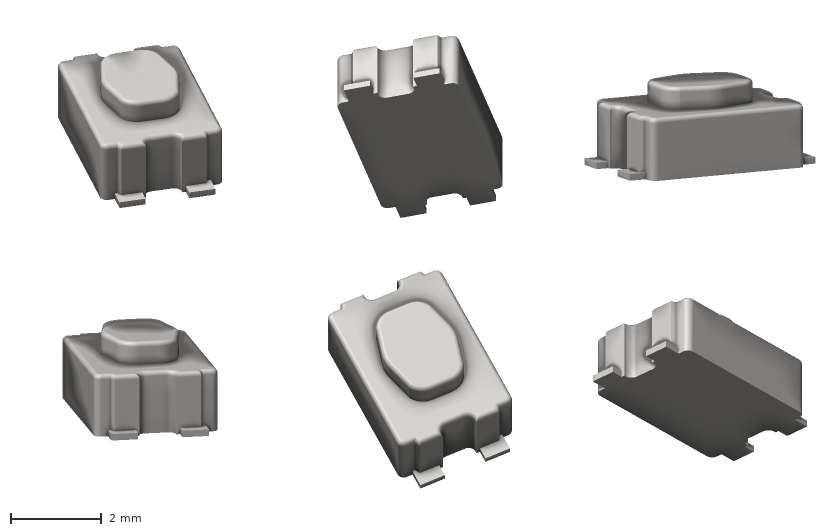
import cadquery as cq

housing_half_length = 1.9
housing_half_width = 1.39
housing_height = 1.4
housing_corner_radius = 0.15
wing_half_length = 2.015
wing_root_half_width = 1.03
wing_tip_half_width = 0.97
notch_floor_x = 1.8
notch_straight_half_width = 0.24
notch_radius = 0.175
top_edge_radius = 0.1

total_height = 1.9
button_height = total_height - housing_height
button_half_length = 1.12
button_half_width = 0.865
side_flat_half_width = 0.24
side_corner_end = (0.84, 0.67)
nose_arc_end = (0.205, 0.835)

overall_length = 4.6
terminal_thickness = 0.145
terminal_width = 0.6
terminal_offset_y = 0.795
terminal_length = overall_length / 2 - housing_half_length

SIDES = (-1, 1)


def arc_radius(run, rise):
    """Radius of an arc that leaves along the run direction and ends offset by rise."""
    return (run**2 + rise**2) / (2 * rise)


def make_wing_pair(side):
    """Tapered projection on one end of the housing, before it is notched."""
    return (
        cq.Workplane("XY")
        .moveTo(0, -wing_root_half_width)
        .lineTo(side * housing_half_length, -wing_root_half_width)
        .lineTo(side * wing_half_length, -wing_tip_half_width)
        .lineTo(side * wing_half_length, wing_tip_half_width)
        .lineTo(side * housing_half_length, wing_root_half_width)
        .lineTo(0, wing_root_half_width)
        .close()
        .extrude(housing_height)
    )


def make_notches():
    """Upright rounded slots that cut into both ends of the housing."""
    notch_centre_x = notch_floor_x + notch_radius
    slot_length = 2 * (notch_straight_half_width + notch_radius)
    return (
        cq.Workplane("XY")
        .pushPoints([(side * notch_centre_x, 0) for side in SIDES])
        .slot2D(slot_length, 2 * notch_radius, angle=90)
        .extrude(housing_height)
    )


def make_terminal(side_x, side_y):
    """One flat solder tab at the chosen corner."""
    centre_x = side_x * (housing_half_length + terminal_length / 2)
    return (
        cq.Workplane("XY")
        .center(centre_x, side_y * terminal_offset_y)
        .rect(terminal_length, terminal_width)
        .extrude(terminal_thickness)
    )


def make_housing(terminals):
    """Rounded block with notched wings, relieved underneath for the terminals."""
    body = (
        cq.Workplane("XY")
        .rect(2 * housing_half_length, 2 * housing_half_width)
        .extrude(housing_height)
        .edges("|Z")
        .fillet(housing_corner_radius)
    )
    for side in SIDES:
        body = body.union(make_wing_pair(side))
    body = body.cut(make_notches())
    body = body.faces(">Z").edges().fillet(top_edge_radius)
    for terminal in terminals:
        body = body.cut(terminal)
    return body


def make_button():
    """Six-sided push button with rounded corners, resting on the housing."""
    nose_x, nose_y = nose_arc_end
    corner_x, corner_y = side_corner_end
    nose_radius = arc_radius(nose_x, button_half_width - nose_y)
    corner_radius = arc_radius(corner_y - side_flat_half_width, button_half_length - corner_x)
    return (
        cq.Workplane("XY")
        .workplane(offset=housing_height)
        .moveTo(0, button_half_width)
        .radiusArc((nose_x, nose_y), nose_radius)
        .lineTo(corner_x, corner_y)
        .radiusArc((button_half_length, side_flat_half_width), corner_radius)
        .lineTo(button_half_length, -side_flat_half_width)
        .radiusArc((corner_x, -corner_y), corner_radius)
        .lineTo(nose_x, -nose_y)
        .radiusArc((0, -button_half_width), nose_radius)
        .mirrorY()
        .extrude(button_height)
        .faces(">Z")
        .edges()
        .fillet(top_edge_radius)
    )


terminals = [make_terminal(side_x, side_y) for side_x in SIDES for side_y in SIDES]
housing = make_housing(terminals)
button = make_button()

result = cq.Compound.makeCompound(
    [housing.val(), button.val(), *[terminal.val() for terminal in terminals]]
)